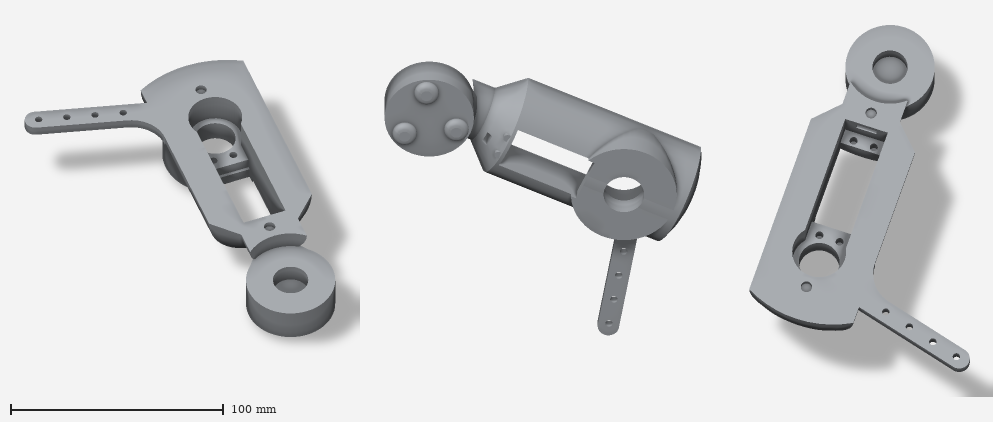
import cadquery as cq
import math


overall_length = 156.7

body_radius = 25.9
dome_sag = 6.7
dome_radius = (dome_sag**2 + body_radius**2) / (2 * dome_sag)
taper_start_x = 96.4
taper_end_x = 108.3
neck_radius = 14.3

selection_margin = 0.2

pad_radius = 21.0
pad_x = overall_length - pad_radius
pad_top = -9.0
pad_bottom = -25.7
bevel_along_neck = 1.5
bevel_down_pad = 3.1
neck_clearance = 0.3
pad_pocket_radius = 8.3
pad_pocket_depth = 9.0
foot_radius = 5.8
foot_height = 3.5
foot_rounding = 3.1
foot_circle_radius = 14.1
foot_count = 3

pedestal_x = 35.1
pedestal_y = 0.8
pedestal_radius = 24.9
bore_radius = 9.5
counterbore_radius = 12.7

pocket_end_x = 101.5
pocket_width = 21.2
ledge_depth = 15.0
step_depth = 20.4
left_ledge_end_x = 53.1
left_step_end_x = 54.5
right_ledge_start_x = 94.6
left_screw_x = 47.8
right_screw_x = 97.5
screw_spacing = 10.0
screw_radius = 1.9
screw_hole_depth = 6.3
screw_stub_bottom = -24.9

window_width = 10.0
window_top = -3.0
window_bottom = -7.4
window_depth = 6.3

cable_slot_start_x = 103.1
cable_slot_end_x = 105.5
cable_slot_start_y = -6.0
cable_slot_end_y = 0.0

pin_hole_radius = 2.7
pin_hole_depth = 2.8
left_pin_x = 16.6

arm_thickness = 5.0
arm_half_width = 5.0
arm_tip_x = 6.1
arm_tip_y = -78.6
arm_lean = math.radians(15)
arm_fillet = 16.8
arm_hole_radius = 1.7
arm_first_hole = 1.5
arm_hole_pitch = 13.3
arm_hole_count = 4


def cylinder(x, y, radius, bottom, top):
    """Upright cylinder between two heights."""
    return cq.Workplane("XY", origin=(x, y, bottom)).circle(radius).extrude(top - bottom)


def block(x_start, x_end, width, bottom, top):
    """Box centred on the long axis."""
    return (
        cq.Workplane("XY", origin=((x_start + x_end) / 2, 0, bottom))
        .rect(x_end - x_start, width)
        .extrude(top - bottom)
    )


def half_round(profile):
    """Revolve a profile lying above the X axis into the half solid below Z = 0."""
    return profile.close().revolve(180, (1.5, 0, 0), (0, 0, 0))


def make_body():
    mid_height = body_radius / 2
    mid_x = dome_radius - math.sqrt(dome_radius**2 - mid_height**2)
    profile = (
        cq.Workplane("XY")
        .threePointArc((mid_x, mid_height), (dome_sag, body_radius))
        .lineTo(taper_start_x, body_radius)
        .lineTo(taper_end_x, neck_radius)
        .lineTo(taper_end_x, 0)
    )
    return half_round(profile)


def make_neck_and_pad():
    neck = half_round(
        cq.Workplane("XY")
        .moveTo(taper_end_x, 0)
        .lineTo(taper_end_x, neck_radius)
        .lineTo(pad_x, neck_radius)
        .lineTo(pad_x, 0)
    )
    joint = neck.union(cylinder(pad_x, 0, pad_radius, pad_bottom, 0))
    joint_probe = cq.selectors.BoxSelector(
        (pad_x - pad_radius - selection_margin, -neck_radius, -neck_radius - selection_margin),
        (pad_x, neck_radius, -selection_margin),
    )
    joint = joint.edges(joint_probe).chamfer(bevel_along_neck, bevel_down_pad)
    lower = joint.intersect(block(taper_end_x, overall_length, 2 * pad_radius, pad_bottom, pad_top))
    upper = neck.cut(cylinder(pad_x, 0, pad_radius + neck_clearance, pad_top, 0))
    return lower.union(upper)


def make_foot(index):
    angle = math.pi + index * 2 * math.pi / foot_count
    x = pad_x + foot_circle_radius * math.cos(angle)
    y = foot_circle_radius * math.sin(angle)
    foot = cylinder(x, y, foot_radius, pad_bottom - foot_height, pad_bottom)
    return foot.faces("<Z").edges().fillet(foot_rounding)


def along_arm(distance, side=0):
    """Point measured from the tip centre up the arm and to its right side."""
    x = arm_tip_x + distance * math.sin(arm_lean) + side * math.cos(arm_lean)
    y = arm_tip_y + distance * math.cos(arm_lean) - side * math.sin(arm_lean)
    return x, y


def make_arm():
    root_y = -body_radius + arm_thickness
    root_distance = (root_y - arm_tip_y - arm_half_width * math.sin(arm_lean)) / math.cos(arm_lean)
    corner_distance = (
        -body_radius - arm_tip_y + arm_half_width * math.sin(arm_lean)
    ) / math.cos(arm_lean)
    corner_angle = math.pi / 2 + arm_lean
    tangent_length = arm_fillet / math.tan(corner_angle / 2)
    fillet_end_x = along_arm(corner_distance, arm_half_width)[0] + tangent_length
    fillet_half_sweep = (math.pi - corner_angle) / 2
    fillet_middle = (
        fillet_end_x - arm_fillet * math.sin(fillet_half_sweep),
        -body_radius - arm_fillet + arm_fillet * math.cos(fillet_half_sweep),
    )
    outline = (
        cq.Workplane("XY", origin=(0, 0, -arm_thickness))
        .moveTo(*along_arm(root_distance, -arm_half_width))
        .lineTo(*along_arm(0, -arm_half_width))
        .threePointArc(along_arm(-arm_half_width), along_arm(0, arm_half_width))
        .lineTo(*along_arm(corner_distance - tangent_length, arm_half_width))
        .threePointArc(fillet_middle, (fillet_end_x, -body_radius))
        .lineTo(fillet_end_x, root_y)
        .close()
    )
    arm = outline.extrude(arm_thickness)
    for index in range(arm_hole_count):
        x, y = along_arm(arm_first_hole + index * arm_hole_pitch)
        arm = arm.cut(cylinder(x, y, arm_hole_radius, -arm_thickness, 0))
    return arm


def make_pedestal():
    return cylinder(pedestal_x, pedestal_y, pedestal_radius, pad_bottom, -arm_thickness)


def cut_servo_pocket(part):
    part = part.cut(cylinder(pedestal_x, pedestal_y, counterbore_radius, -ledge_depth, 0))
    part = part.cut(cylinder(pedestal_x, pedestal_y, bore_radius, -body_radius, 0))
    part = part.cut(block(pedestal_x, pocket_end_x, pocket_width, -ledge_depth, 0))
    part = part.cut(block(left_ledge_end_x, right_ledge_start_x, pocket_width, -step_depth, 0))
    part = part.cut(block(left_step_end_x, right_ledge_start_x, pocket_width, -body_radius, 0))
    return part


def cut_cable_passage(part):
    slot_length = cable_slot_end_x - cable_slot_start_x
    slot_width = cable_slot_end_y - cable_slot_start_y
    slot = (
        cq.Workplane("XY", origin=(cable_slot_start_x, cable_slot_start_y, -body_radius))
        .rect(slot_length, slot_width, centered=False)
        .extrude(body_radius + window_bottom)
    )
    window_end_x = pocket_end_x + window_depth
    part = part.cut(slot)
    return part.cut(block(pocket_end_x, window_end_x, window_width, window_bottom, window_top))


def add_ledge_screw_holes(part):
    hole_bottom = -ledge_depth - screw_hole_depth
    for y in (-screw_spacing / 2, screw_spacing / 2):
        part = part.union(cylinder(right_screw_x, y, screw_radius, screw_stub_bottom, hole_bottom))
        for x in (left_screw_x, right_screw_x):
            part = part.cut(cylinder(x, y, screw_radius, hole_bottom, -ledge_depth))
    return part


result = make_body().union(make_pedestal()).union(make_neck_and_pad()).union(make_arm())
for foot_index in range(foot_count):
    result = result.union(make_foot(foot_index))
result = cut_servo_pocket(result)
result = cut_cable_passage(result)
result = add_ledge_screw_holes(result)
result = result.cut(cylinder(pad_x, 0, pad_pocket_radius, pad_top - pad_pocket_depth, pad_top))
for pin_x, pin_y in ((left_pin_x, pedestal_y), (taper_end_x, 0)):
    result = result.cut(cylinder(pin_x, pin_y, pin_hole_radius, -pin_hole_depth, 0))